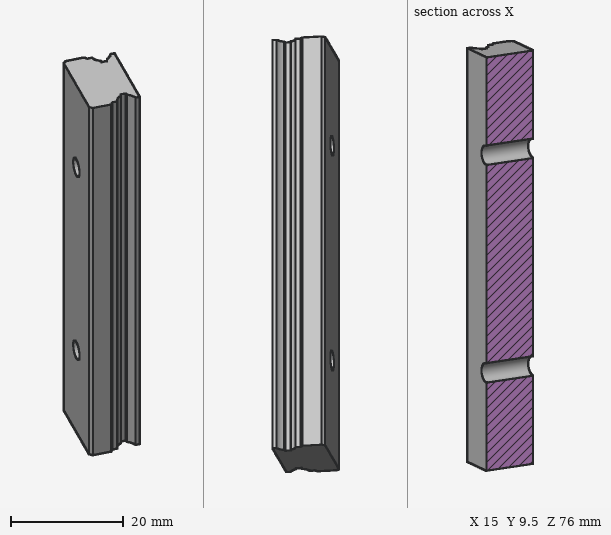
import cadquery as cq

length = 76.0
width = 15.0
height = 9.5

head_width = 13.9
base_chamfer = 0.5
shoulder_y = 4.4
shoulder_drop = 0.45

race_bottom_y = 5.3
race_top_y = 8.75
lower_arc_radius = 1.6
upper_arc_radius = 3.0
race_inner_x = 5.6
relief_bottom_y = 6.45
relief_top_y = 7.45
relief_lip_y = 7.6
relief_floor_x = 5.2

hole_diameter = 3.5
hole_pitch = 40.0


def half_rail():
    """Extrude the +X half of the cross-section, up to the mid-plane."""
    half_width = width / 2
    half_head = head_width / 2
    return (
        cq.Workplane("XY")
        .lineTo(half_width - base_chamfer, 0)
        .lineTo(half_width, base_chamfer)
        .lineTo(half_width, shoulder_y - shoulder_drop)
        .lineTo(half_head, shoulder_y)
        .lineTo(half_head, race_bottom_y)
        .radiusArc((race_inner_x, relief_bottom_y), lower_arc_radius)
        .lineTo(relief_floor_x, relief_bottom_y)
        .lineTo(relief_floor_x, relief_top_y)
        .lineTo(race_inner_x, relief_lip_y)
        .radiusArc((half_head, race_top_y), upper_arc_radius)
        .lineTo(half_head, height)
        .lineTo(0, height)
        .close()
        .extrude(length)
    )


def mounting_holes():
    """Plain holes through the full height, centred along the rail."""
    hole_heights = [(length - hole_pitch) / 2, (length + hole_pitch) / 2]
    return (
        cq.Workplane("XZ")
        .pushPoints([(0, z) for z in hole_heights])
        .circle(hole_diameter / 2)
        .extrude(-height)
    )


right_half = half_rail()
rail = right_half.union(right_half.mirror("YZ")).clean()
result = rail.cut(mounting_holes())